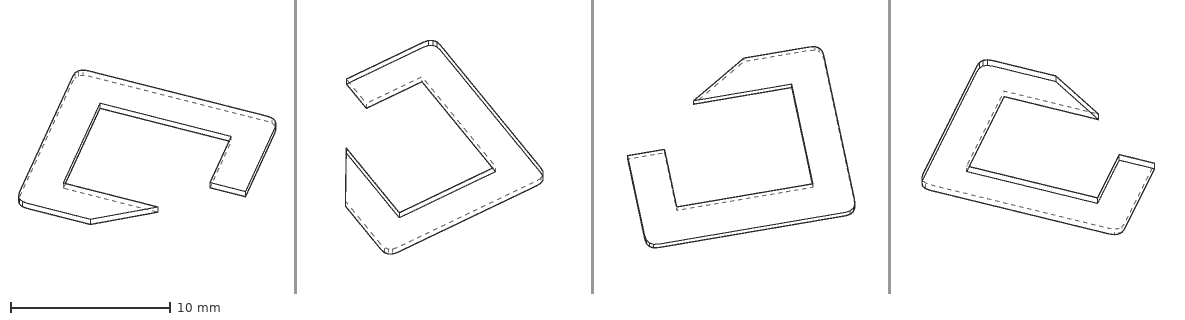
import cadquery as cq

length = 13.41
width = 11.84
thickness = 0.5

band = 2.36
short_arm_end = 5.36
tip_x = 8.64
bevel_start_x = 4.96

corner_reach = 0.76
facet_count = 4


def faceted_corner(x, y, x_inward, y_inward):
    """Points along a quadratic Bezier curve from the vertical side to the horizontal side.

    (x, y) is the sharp corner; x_inward and y_inward (+1 or -1) point into the part.
    """
    points = []
    for step in range(facet_count + 1):
        t = step / facet_count
        x_offset = corner_reach * t**2
        y_offset = corner_reach * (1 - t) ** 2
        points.append((x + x_inward * x_offset, y + y_inward * y_offset))
    return points


lower_left = faceted_corner(0, 0, 1, 1)
upper_left = faceted_corner(0, width, 1, -1)
upper_right = faceted_corner(length, width, -1, -1)

outline = [
    (bevel_start_x, 0),
    (tip_x, band),
    (band, band),
    (band, width - band),
    (length - band, width - band),
    (length - band, short_arm_end),
    (length, short_arm_end),
    *upper_right,
    *reversed(upper_left),
    *lower_left,
]

result = cq.Workplane("XY").polyline(outline).close().extrude(thickness)